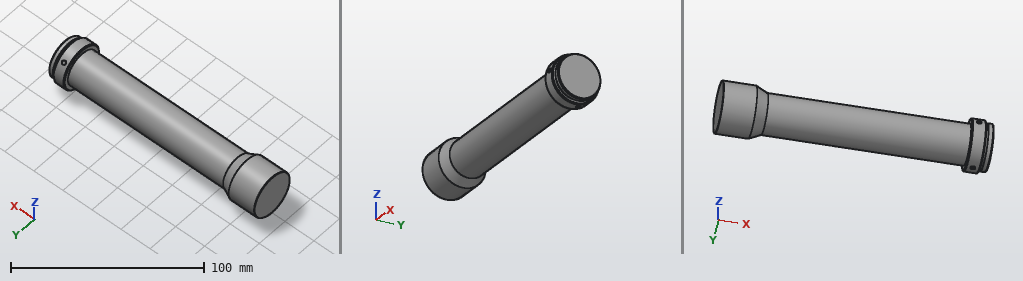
import cadquery as cq

total_length = 142.9
head_length = 17.7
cone_end = 24.2
ring_start = 131.0
ring_end = 138.8
flange_start = 140.0

head_radius = 14.0
ring_radius = head_radius
tube_diameter = 22.1
tube_radius = tube_diameter / 2
neck_radius = 12.0
flange_radius = 12.7

head_chamfer = 0.3
ring_chamfer = 0.6
flange_chamfer = 0.6

hole_count = 3
hole_radius = 1.21
hole_wall_depth = 0.6
hole_tip_depth = hole_radius
first_hole_angle = 45.0
hole_x = (ring_start + ring_end) / 2


def cylinder(start, end, radius):
    """Solid disc or rod along X between two stations."""
    return cq.Workplane("YZ", origin=(start, 0, 0)).circle(radius).extrude(end - start)


def make_head():
    """Plain cylindrical head with a broken front edge."""
    return cylinder(0, head_length, head_radius).faces("<X").chamfer(head_chamfer)


def make_cone():
    """Taper from the head down to the tube."""
    return (
        cq.Workplane("XY")
        .moveTo(head_length, 0)
        .lineTo(head_length, head_radius)
        .lineTo(cone_end, tube_radius)
        .lineTo(cone_end, 0)
        .close()
        .revolve(360, (0, 0, 0), (1, 0, 0))
    )


def make_ring():
    """Collar with both rims chamfered and evenly spaced radial blind holes."""
    ring = cylinder(ring_start, ring_end, ring_radius).edges().chamfer(ring_chamfer)
    wall_bottom = ring_radius - hole_wall_depth
    drill = (
        cq.Workplane("XY")
        .moveTo(hole_x, wall_bottom - hole_tip_depth)
        .lineTo(hole_x + hole_radius, wall_bottom)
        .lineTo(hole_x + hole_radius, ring_radius + hole_wall_depth)
        .lineTo(hole_x, ring_radius + hole_wall_depth)
        .close()
        .revolve(360, (hole_x, 0, 0), (hole_x, 1, 0))
    )
    for index in range(hole_count):
        angle = first_hole_angle + index * 360 / hole_count
        ring = ring.cut(drill.rotate((0, 0, 0), (1, 0, 0), angle))
    return ring


def make_flange():
    """End flange with a chamfered outer rim."""
    return cylinder(flange_start, total_length, flange_radius).faces(">X").chamfer(flange_chamfer)


tube = cylinder(cone_end, ring_start, tube_radius)
neck = cylinder(ring_end, flange_start, neck_radius)

result = make_head().union(make_cone()).union(tube).union(make_ring()).union(neck).union(make_flange())